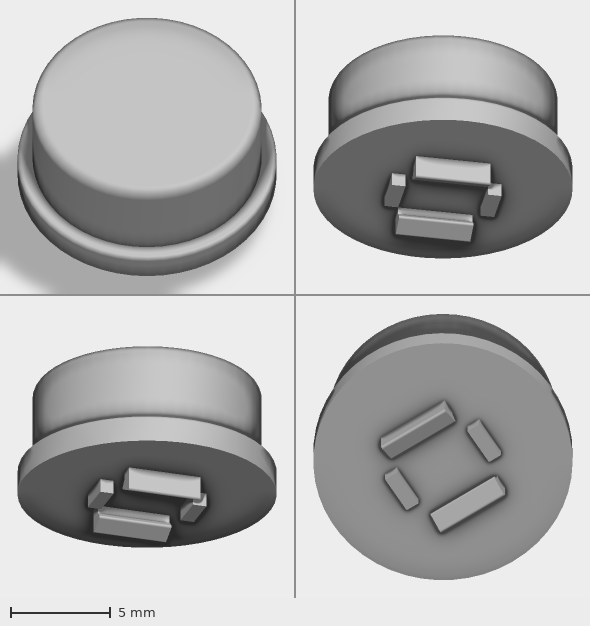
import cadquery as cq

flange_diameter = 13.0
flange_height = 1.4
flange_edge_radius = 0.2
body_diameter = 11.5
cap_height = 5.71
body_edge_radius = 0.5

leg_span = 5.6
leg_thickness = 0.7

clip_width = 3.8
clip_hook_start_depth = 0.39
clip_hook_reach = 1.07
clip_depth = 1.27
clip_edge_radius = 0.1

tab_width = 2.0
tab_depth = leg_thickness


def make_cap():
    flange = cq.Workplane("XY").circle(flange_diameter / 2).extrude(flange_height)
    flange = flange.faces(">Z").edges().fillet(flange_edge_radius)
    body = cq.Workplane("XY").circle(body_diameter / 2).extrude(cap_height)
    body = body.faces(">Z").edges().fillet(body_edge_radius)
    return flange.union(body)


def make_clip():
    """Clip on the -X side, with a 45 degree catch and a sloping lead-in."""
    outer_x = -leg_span / 2
    inner_x = outer_x + leg_thickness
    tip_x = outer_x + clip_hook_reach
    tip_depth = clip_hook_start_depth + (tip_x - inner_x)
    clip = (
        cq.Workplane("XZ")
        .moveTo(outer_x, 0)
        .lineTo(inner_x, 0)
        .lineTo(inner_x, -clip_hook_start_depth)
        .lineTo(tip_x, -tip_depth)
        .lineTo(outer_x, -clip_depth)
        .close()
        .extrude(clip_width / 2, both=True)
    )
    clip = clip.edges("|Y").edges(">X").fillet(clip_edge_radius)
    return clip.edges("|Y").edges("<Z").fillet(clip_edge_radius)


def make_tab():
    """Rectangular tab on the -Y side."""
    tab_center_y = -(leg_span - leg_thickness) / 2
    return (
        cq.Workplane("XY")
        .center(0, tab_center_y)
        .rect(tab_width, leg_thickness)
        .extrude(-tab_depth)
    )


result = make_cap()
for leg in (make_clip(), make_tab()):
    for angle in (0, 180):
        result = result.union(leg.rotate((0, 0, 0), (0, 0, 1), angle))